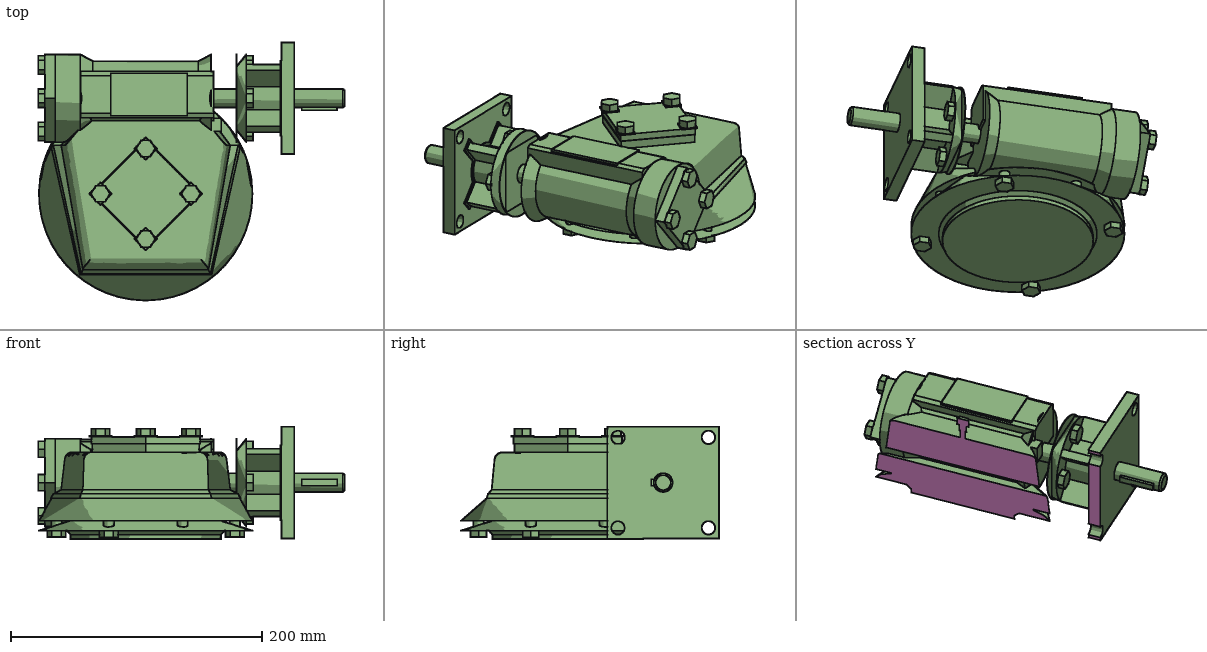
import cadquery as cq
import math


casing_radius = 85.0
foot_ring_radius = 63.0
foot_radius = 60.0
foot_straight_height = 3.7
base_flange_z = 6.9
skirt_z = 14.6
lip_z = 32.6
step_z = 36.0
wall_z = 39.3
roof_z = 69.2
roof_fillet = 6.7
shoulder_y = 38.5
corner_tangent_length = 3.0
short_arc_half_angle = 1.0

cover_spigot_diameter = 85.0
cover_diameter = 86.5
cover_z = 75.8
cover_top_z = 81.4
cover_bolt_radius = 36.0
washer_diameter = 18.0
washer_thickness = 0.9

hex_corner_diameter = 15.0
cover_head_height = 5.8
base_head_height = 5.2
end_head_height = 5.4
base_bolt_radius = 76.8
base_bolt_angle = 22.5
base_bolt_count = 4
base_pin_diameter = 8.5
end_bolt_radius = 26.5

worm_y = 76.0
worm_z = 45.05
worm_flange_radius = 35.0
worm_barrel_radius = 29.6
barrel_half_length = 42.0
cone_half_length = 52.0
end_cap_inner_x = -72.0
end_cap_thickness = 8.2
end_cap_outer_x = end_cap_inner_x - end_cap_thickness
pad_y_min = 60.5
pad_y_max = 97.5
pad_x_min = -51.8
pad_x_max = 54.0
pad_z = 79.5
plate_x_min = -28.0
plate_x_max = 33.0
plate_inset = 1.4
plate_thickness = 0.6
plate_foot_depth = 2.5
pad_foot_width = 2.5
pad_bevel_width = 3.5
pad_bevel_drop = 2.0
web_x_max = 60.0
web_y_min = 49.6
web_y_max = 60.0
web_z_min = 55.0

adapter_x = 71.9
adapter_disc_thickness = 0.4
adapter_flange_end_x = 80.1
adapter_hub_radius = 16.6
adapter_rib_thickness = 6.5
rib_foot_margin = 2.0
rib_foot_thickness = 0.9
motor_plate_x = 108.0
motor_plate_end_x = 118.4
motor_plate_size = 89.0
motor_hole_diameter = 10.5
motor_hole_spacing = 72.0

shaft_diameter = 15.0
shaft_end_x = 158.5
shaft_chamfer = 1.5
key_x_min = 124.0
key_x_max = 152.4
key_width = 5.0
key_projection = 2.1


def circle_points(radius, angles):
    """Points on a circle about the origin, one for each angle in degrees."""
    return [(radius * math.cos(math.radians(a)), radius * math.sin(math.radians(a))) for a in angles]


def point_along(start, end, distance):
    """Point at a given distance from start on the way to end."""
    length = math.dist(start, end)
    return tuple(a + (b - a) * distance / length for a, b in zip(start, end))


def midpoint(first, second):
    return point_along(first, second, math.dist(first, second) / 2)


def rounded_polygon(corners, plane, offset):
    """Wire of a polygon whose corners are rounded, starting along its first side."""
    count = len(corners)
    first_tangent = point_along(corners[0], corners[1], corner_tangent_length)
    outline = cq.Workplane(plane).workplane(offset=offset).moveTo(*first_tangent)
    for i in range(count):
        start, corner, following = (corners[(i + k) % count] for k in range(3))
        arc_start = point_along(corner, start, corner_tangent_length)
        arc_end = point_along(corner, following, corner_tangent_length)
        chord_middle = midpoint(arc_start, arc_end)
        half_corner_sine = math.dist(arc_start, chord_middle) / corner_tangent_length
        depth = math.dist(corner, chord_middle) / (1 + half_corner_sine)
        arc_middle = point_along(corner, chord_middle, depth)
        outline = outline.lineTo(*arc_start).threePointArc(arc_middle, arc_end)
    return outline.wire().val()


def rim_facing_polygon(corners, radius, plane, offset):
    """Circle split into a short arc facing each polygon side and a long arc around each corner."""
    arc_ends = []
    for start, end in zip(corners, corners[1:] + corners[:1]):
        facing = math.degrees(math.atan2(end[1] - start[1], end[0] - start[0])) - 90
        arc_ends += [facing - short_arc_half_angle, facing + short_arc_half_angle]
    rim = circle_points(radius, arc_ends)
    circle = cq.Workplane(plane).workplane(offset=offset).moveTo(*rim[0])
    for i, start_angle in enumerate(arc_ends):
        following = (i + 1) % len(arc_ends)
        sweep = (arc_ends[following] - start_angle) % 360
        arc_middle = circle_points(radius, [start_angle + sweep / 2])[0]
        circle = circle.threePointArc(arc_middle, rim[following])
    return circle.wire().val()


def polygon_to_circle(plane, corners, polygon_offset, radius, circle_offset):
    """Skirt that fans out from the corners of a counter-clockwise polygon to a circle."""
    polygon = rounded_polygon(corners, plane, polygon_offset)
    circle = rim_facing_polygon(corners, radius, plane, circle_offset)
    return cq.Workplane(cq.Solid.makeLoft([polygon, circle], True))


def mirrored_outline(right_side):
    """Closed outline from its right-hand points, mirrored across the Y axis."""
    return right_side + [(-x, y) for x, y in reversed(right_side)]


def tapered_block(lower, lower_z, upper, upper_z):
    """Straight-sided body between two outlines at different heights."""
    return (
        cq.Workplane("XY").workplane(offset=lower_z).polyline(lower).close()
        .workplane(offset=upper_z - lower_z).polyline(upper).close()
        .loft(ruled=True)
    )


worm_plane = cq.Plane(origin=(0, worm_y, worm_z), xDir=(0, 1, 0), normal=(1, 0, 0))


def worm_section(x):
    """Workplane square to the worm axis, centred on it, at a given X."""
    return cq.Workplane(worm_plane).workplane(offset=x)


def square_points(radius, first_angle):
    return circle_points(radius, [first_angle + 90 * i for i in range(4)])


def make_base():
    foot = cq.Workplane("XY").circle(foot_radius).extrude(base_flange_z)
    flare = (
        cq.Workplane("XY").workplane(offset=foot_straight_height).circle(foot_radius)
        .workplane(offset=base_flange_z - foot_straight_height).circle(foot_ring_radius)
        .loft(ruled=True)
    )
    corners = square_points(casing_radius, 45)
    flange = polygon_to_circle("XY", corners, skirt_z, casing_radius, base_flange_z)
    base = foot.union(flare).union(flange)
    head_z = base_flange_z - base_head_height
    bolt_step = 360 / base_bolt_count
    for i in range(base_bolt_count):
        head_angle = 180 - base_bolt_angle + bolt_step * i
        pin_angle = 180 + base_bolt_angle + bolt_step * i
        head_at, pin_at = circle_points(base_bolt_radius, [head_angle, pin_angle])
        head = (
            cq.Workplane("XY").workplane(offset=head_z).center(*head_at)
            .polygon(6, hex_corner_diameter).extrude(base_head_height)
        )
        pins = (
            cq.Workplane("XY").workplane(offset=base_flange_z).pushPoints([head_at, pin_at])
            .circle(base_pin_diameter / 2).extrude(skirt_z - base_flange_z)
        )
        base = base.union(head).union(pins)
    return base


def make_casing():
    lip = mirrored_outline([(52.5, -64.5), (75.5, shoulder_y)])
    step = mirrored_outline([(51.5, -63.5), (73.5, shoulder_y)])
    ledge = mirrored_outline([(50.0, -60.6), (67.3, shoulder_y)])
    wall_foot = mirrored_outline([(50.0, -60.6), (67.3, shoulder_y), (50.0, 62.0)])
    roof = mirrored_outline([(49.0, -57.8), (63.8, shoulder_y), (46.0, 60.0)])
    skirt = polygon_to_circle("XY", lip, lip_z, casing_radius, skirt_z)
    upper = tapered_block(wall_foot, wall_z, roof, roof_z)
    front_and_sides = cq.selectors.BoxSelector((-90, -90, roof_z - 1), (90, shoulder_y, roof_z + 1))
    upper = upper.edges(front_and_sides).fillet(roof_fillet)
    return (
        skirt
        .union(tapered_block(lip, lip_z, step, step_z))
        .union(tapered_block(step, step_z, ledge, wall_z))
        .union(upper)
    )


def make_cover():
    spigot = (
        cq.Workplane("XY").workplane(offset=roof_z)
        .polygon(4, cover_spigot_diameter).extrude(cover_z - roof_z)
    )
    lid = (
        cq.Workplane("XY").workplane(offset=cover_z)
        .polygon(4, cover_diameter).extrude(cover_top_z - cover_z)
    )
    bolts_at = square_points(cover_bolt_radius, 0)
    washers = (
        cq.Workplane("XY").workplane(offset=cover_top_z).pushPoints(bolts_at)
        .polygon(4, washer_diameter).extrude(washer_thickness)
    )
    heads = (
        cq.Workplane("XY").workplane(offset=cover_top_z + washer_thickness).pushPoints(bolts_at)
        .polygon(6, hex_corner_diameter).extrude(cover_head_height)
    )
    return spigot.union(lid).union(washers).union(heads)


def make_worm_housing():
    half_profile = [
        (end_cap_inner_x, 0),
        (end_cap_inner_x, worm_flange_radius),
        (-cone_half_length, worm_flange_radius),
        (-barrel_half_length, worm_barrel_radius),
        (barrel_half_length, worm_barrel_radius),
        (cone_half_length, worm_flange_radius),
        (cone_half_length, 0),
    ]
    barrel = (
        cq.Workplane("XY", origin=(0, worm_y, worm_z)).polyline(half_profile).close()
        .revolve(360, (0, 0), (1, 0))
    )
    cap = (
        worm_section(end_cap_outer_x).polyline(square_points(worm_flange_radius, 0)).close()
        .extrude(end_cap_thickness)
    )
    heads = (
        worm_section(end_cap_outer_x).pushPoints(square_points(end_bolt_radius, 0))
        .polygon(6, hex_corner_diameter).extrude(-end_head_height)
    )
    return barrel.union(cap).union(heads)


def make_top_pad():
    bevel_z = pad_z - pad_bevel_drop
    pad_profile = [
        (pad_y_min - pad_foot_width, worm_z),
        (pad_y_min - pad_foot_width, roof_z),
        (pad_y_min, roof_z + pad_foot_width),
        (pad_y_min, bevel_z),
        (pad_y_min + pad_bevel_width, pad_z),
        (pad_y_max - pad_bevel_width, pad_z),
        (pad_y_max, bevel_z),
        (pad_y_max, worm_z),
    ]
    pad = (
        cq.Workplane("YZ").workplane(offset=pad_x_min).polyline(pad_profile).close()
        .extrude(pad_x_max - pad_x_min)
    )
    plate_width = pad_y_max - pad_y_min - 2 * plate_inset
    plate = cq.Workplane("XY").box(
        plate_x_max - plate_x_min, plate_width, plate_foot_depth + plate_thickness, centered=False
    ).translate((plate_x_min, pad_y_min + plate_inset, pad_z - plate_foot_depth))
    web = cq.Workplane("XY").box(
        web_x_max, web_y_max - web_y_min, roof_z - web_z_min, centered=False
    ).translate((0, web_y_min, web_z_min))
    return pad.union(plate).union(web)


def make_rib(length, thickness, start_x, end_x, angle):
    """Radial fin that reaches from the worm axis outwards."""
    fin = cq.Workplane("XY").box(
        end_x - start_x, length, thickness, centered=(False, False, True)
    )
    return fin.rotate((0, 0, 0), (1, 0, 0), angle).translate((start_x, worm_y, worm_z))


def make_adapter():
    disc = worm_section(adapter_x).circle(worm_flange_radius).extrude(adapter_disc_thickness)
    corners = square_points(worm_flange_radius, 45)
    flange = polygon_to_circle(worm_plane, corners, adapter_x, worm_flange_radius, adapter_flange_end_x)
    heads = (
        worm_section(adapter_flange_end_x).pushPoints(square_points(end_bolt_radius, 0))
        .polygon(6, hex_corner_diameter).extrude(end_head_height)
    )
    hub = (
        worm_section(adapter_flange_end_x).circle(adapter_hub_radius)
        .extrude(motor_plate_x - adapter_flange_end_x)
    )
    hub_foot = (
        worm_section(motor_plate_x - rib_foot_thickness).circle(adapter_hub_radius + rib_foot_margin)
        .extrude(rib_foot_thickness)
    )
    motor_plate = (
        worm_section(motor_plate_x).rect(motor_plate_size, motor_plate_size)
        .extrude(motor_plate_end_x - motor_plate_x)
    )
    holes = (
        worm_section(motor_plate_x).rect(motor_hole_spacing, motor_hole_spacing, forConstruction=True)
        .vertices().circle(motor_hole_diameter / 2).extrude(motor_plate_end_x - motor_plate_x)
    )
    adapter = disc.union(flange).union(heads).union(hub).union(hub_foot).union(motor_plate).cut(holes)
    foot_length = worm_flange_radius + rib_foot_margin
    foot_thickness = adapter_rib_thickness + 2 * rib_foot_margin
    for i in range(4):
        angle = 45 + 90 * i
        rib = make_rib(worm_flange_radius, adapter_rib_thickness, adapter_flange_end_x, motor_plate_x, angle)
        foot = make_rib(
            foot_length, foot_thickness, motor_plate_x - rib_foot_thickness, motor_plate_x, angle
        )
        adapter = adapter.union(rib).union(foot)
    return adapter


def make_shaft():
    shaft = (
        worm_section(0).circle(shaft_diameter / 2).extrude(shaft_end_x)
        .faces(">X").chamfer(shaft_chamfer)
    )
    key_depth = shaft_diameter / 2 + key_projection
    key = cq.Workplane("XY").box(
        key_x_max - key_x_min, key_depth, key_width, centered=(False, False, True)
    ).translate((key_x_min, worm_y - key_depth, worm_z))
    return shaft.union(key)


result = (
    make_base()
    .union(make_casing())
    .union(make_cover())
    .union(make_worm_housing())
    .union(make_top_pad())
    .union(make_adapter())
    .union(make_shaft())
)